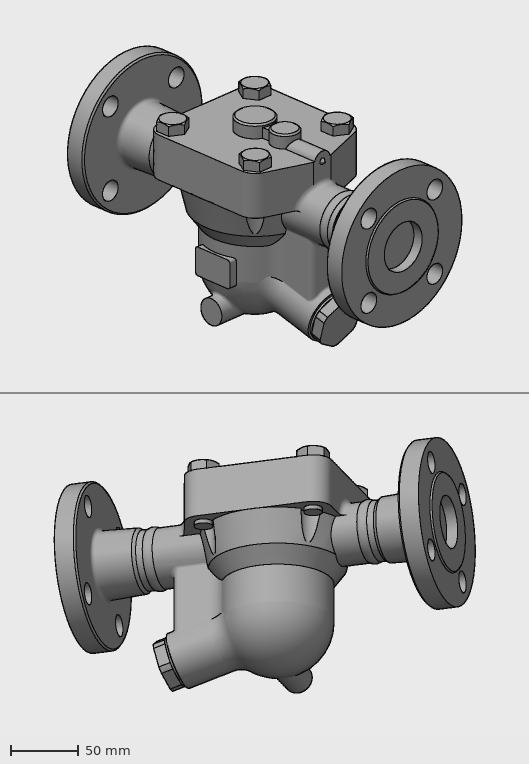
import cadquery as cq
import math


box_margin = 0.3

half_length = 145.0
pipe_r = 46.0 / 2
bore_r = 40.0 / 2
bore_depth = 8.7
flange_r = 127.0 / 2
flange_thickness = 16.5
flange_round = 1.5
raised_face_height = 1.5
raised_face_r = 37.0
raised_face_base_r = 38.0
flange_hole_d = 16.5
flange_hole_offset = 34.8
hub_fillet = 3.2
hub_large_r = 26.0
hub_small_r = 25.0
hub_length = 27.5
hub_shoulder = 2.5
weld_bead_start = 56.5
weld_bead_width = 7.8
weld_bead_height = 1.2

body_x = -10.2
bolt_offset = 43.2
cover_corner_r = 14.2
cover_half_width = bolt_offset + cover_corner_r
cover_nose_x = 60.3
cover_nose_half_width = 9.3
plate_bottom_z = 7.0
cover_top_z = 44.0
pipe_collar_fillet = 4.4

bolt_head_flats = 21.5
bolt_head_height = 9.0
bolt_head_chamfer_height = 1.2
bolt_head_chamfer_width = 2.0
bolt_stub_d = 14.0
bolt_stub_length = 3.2

main_boss_d = 33.0
side_boss_d = 23.8
side_boss_x = 21.2
boss_height = 12.0
boss_chamfer = 1.5
link_width = 14.0
link_height = 9.0
tube_r = 8.5
tube_z = 41.8
tip_base_r = 2.5
tip_length = 3.2

bowl_rim_r = 57.7
bowl_shoulder_r = 51.5
bowl_shoulder_z = -19.5
bowl_r = 42.0
bowl_cylinder_top_z = -32.5
bowl_centre_z = -62.4
bolt_relief_r = 9.0

rib_half_width = 17.0
rib_end_x = 67.3
rib_corner_r = 5.8
rib_bowl_fillet = 16.0
rib_bottom_z = -68.2
rib_pipe_fillet = 3.2
rib_outlet_fillet = 2.0

outlet_tilt = 15.0
outlet_r = 44.0 / 2
outlet_length = 81.0
outlet_flare = 18.8
plug_washer_r = 40.0 / 2
plug_washer_length = 2.0
plug_hex_flats = 38.0
plug_round_d = 41.2
plug_length = 92.2

pad_width = 36.2
pad_height = 23.8
pad_centre_z = -55.0
pad_face_y = -44.7
pad_corner_r = 2.5
drain_d = 22.0
drain_z = -91.0
drain_face_y = -46.0
drain_fillet = 2.3


def pipe_half():
    """Pipe, hub and flange on the -X side, revolved about the pipe axis."""
    face_x = -half_length + raised_face_height
    flange_back_x = face_x + flange_thickness
    hub_x = flange_back_x + hub_fillet
    hub_end_x = hub_x + hub_length
    bead_x = -half_length + weld_bead_start
    fillet_drop = hub_fillet * (1 - math.sqrt(0.5))
    profile = (
        cq.Workplane("XY")
        .moveTo(-half_length, 0)
        .lineTo(-half_length, raised_face_r)
        .lineTo(face_x, raised_face_base_r)
        .lineTo(face_x, flange_r)
        .lineTo(flange_back_x - flange_round, flange_r)
        .lineTo(flange_back_x, flange_r - flange_round)
        .lineTo(flange_back_x, hub_large_r + hub_fillet)
        .threePointArc((flange_back_x + fillet_drop, hub_large_r + fillet_drop), (hub_x, hub_large_r))
        .lineTo(hub_end_x, hub_small_r)
        .lineTo(hub_end_x + hub_shoulder, pipe_r)
        .lineTo(bead_x, pipe_r)
        .threePointArc(
            (bead_x + weld_bead_width / 2, pipe_r + weld_bead_height),
            (bead_x + weld_bead_width, pipe_r),
        )
        .lineTo(0, pipe_r)
        .lineTo(0, 0)
        .close()
    )
    half = profile.revolve(360, (0, 0, 0), (1, 0, 0))
    end_plane = cq.Workplane("YZ", origin=(-half_length, 0, 0))
    holes = (
        end_plane.rect(2 * flange_hole_offset, 2 * flange_hole_offset, forConstruction=True)
        .vertices()
        .circle(flange_hole_d / 2)
        .extrude(raised_face_height + flange_thickness)
    )
    return half.cut(holes).cut(end_plane.circle(bore_r).extrude(bore_depth))


def cover_outline():
    """Square outline with round corners and a blunt nose on the +X side."""
    right_x = body_x + bolt_offset
    left_x = body_x - cover_half_width
    dx = cover_nose_x - right_x
    dy = cover_nose_half_width - bolt_offset
    tangent_angle = math.atan2(dy, dx) + math.acos(cover_corner_r / math.hypot(dx, dy))
    tangent_x = right_x + cover_corner_r * math.cos(tangent_angle)
    tangent_y = bolt_offset + cover_corner_r * math.sin(tangent_angle)
    return (
        cq.Workplane("XY", origin=(0, 0, plate_bottom_z))
        .moveTo(left_x, -bolt_offset)
        .radiusArc((left_x + cover_corner_r, -cover_half_width), -cover_corner_r)
        .lineTo(right_x, -cover_half_width)
        .radiusArc((tangent_x, -tangent_y), -cover_corner_r)
        .lineTo(cover_nose_x, -cover_nose_half_width)
        .lineTo(cover_nose_x, cover_nose_half_width)
        .lineTo(tangent_x, tangent_y)
        .radiusArc((right_x, cover_half_width), -cover_corner_r)
        .lineTo(left_x + cover_corner_r, cover_half_width)
        .radiusArc((left_x, bolt_offset), -cover_corner_r)
        .close()
    )


def bowl():
    """Round bowl with a conical rim, a shoulder, a cylinder and a spherical bottom."""
    body = (
        cq.Workplane("XZ", origin=(body_x, 0, 0))
        .moveTo(0, plate_bottom_z)
        .lineTo(bowl_rim_r, plate_bottom_z)
        .lineTo(bowl_shoulder_r, bowl_shoulder_z)
        .lineTo(bowl_r, bowl_cylinder_top_z)
        .lineTo(bowl_r, bowl_centre_z)
        .radiusArc((0, bowl_centre_z - bowl_r), bowl_r)
        .close()
        .revolve(360, (0, 0, 0), (0, 1, 0))
    )
    reliefs = (
        bolt_pattern(bowl_shoulder_z).circle(bolt_relief_r).extrude(plate_bottom_z - bowl_shoulder_z)
    )
    return body.cut(reliefs)


def bolt_pattern(z):
    return (
        cq.Workplane("XY", origin=(body_x, 0, z))
        .rect(2 * bolt_offset, 2 * bolt_offset, forConstruction=True)
        .vertices()
    )


def add_bolts(part):
    """Hexagon heads with chamfered tops, alternately turned, and stubs below the plate."""
    for x_side, y_side in ((-1, -1), (-1, 1), (1, -1), (1, 1)):
        turn = 30 if x_side * y_side > 0 else 0
        centre = (body_x + x_side * bolt_offset, y_side * bolt_offset, cover_top_z)
        head = (
            cq.Workplane("XY", origin=centre)
            .transformed(rotate=(0, 0, turn))
            .polygon(6, bolt_head_flats, circumscribed=True)
            .extrude(bolt_head_height)
        )
        envelope = (
            cq.Workplane("XY", origin=centre)
            .circle(bolt_head_flats / math.sqrt(3))
            .extrude(bolt_head_height)
            .faces(">Z")
            .chamfer(bolt_head_chamfer_height, bolt_head_chamfer_width)
        )
        head = head.intersect(envelope)
        part = part.union(head)
    stubs = bolt_pattern(plate_bottom_z).circle(bolt_stub_d / 2).extrude(-bolt_stub_length)
    return part.union(stubs)


def cover_bosses():
    """Two chamfered round bosses, the link between them and the half-sunk tube to the nose."""

    def boss(x, diameter):
        return (
            cq.Workplane("XY", origin=(x, 0, cover_top_z))
            .circle(diameter / 2)
            .extrude(boss_height)
            .faces(">Z")
            .chamfer(boss_chamfer)
        )

    link = cq.Workplane("XY", origin=(body_x, 0, cover_top_z)).box(
        side_boss_x - body_x, link_width, link_height, centered=(False, True, False)
    )
    tube_length = cover_nose_x - side_boss_x
    tube = cq.Workplane("YZ", origin=(side_boss_x, 0, tube_z)).circle(tube_r).extrude(tube_length)
    tip = cq.Workplane("XY").add(
        cq.Solid.makeCone(
            tip_base_r, 0, tip_length, cq.Vector(cover_nose_x, 0, tube_z), cq.Vector(1, 0, 0)
        )
    )
    bosses = boss(body_x, main_boss_d).union(boss(side_boss_x, side_boss_d))
    return bosses.union(link).union(tube).union(tip)


def along_outlet(shape):
    """Move a shape built along +X from the origin onto the tilted outlet axis."""
    return shape.rotate((0, 0, 0), (0, 1, 0), outlet_tilt).translate((body_x, 0, bowl_centre_z))


def edges_near_rib(part, z_low, z_high):
    """Edges lying wholly within the rib's faces, between two heights."""
    return part.edges(
        cq.selectors.BoxSelector(
            (body_x - box_margin, -rib_half_width - box_margin, z_low),
            (rib_end_x + box_margin, rib_half_width + box_margin, z_high),
            boundingbox=True,
        )
    )


def rib():
    """Upright rib with a rounded end, filleted into the pipe above and the outlet neck below."""
    rib_length = rib_end_x - body_x
    slab = (
        cq.Workplane("XY", origin=(body_x, 0, rib_bottom_z))
        .rect(rib_length, 2 * rib_half_width)
        .extrude(-rib_bottom_z)
        .translate((rib_length / 2, 0, 0))
        .edges("|Z and >X")
        .fillet(rib_corner_r)
    )
    pipe_piece = cq.Workplane("YZ", origin=(body_x, 0, 0)).circle(pipe_r).extrude(half_length / 2 - body_x)
    with_pipe = slab.union(pipe_piece)
    with_pipe = edges_near_rib(with_pipe, -pipe_r - rib_pipe_fillet, -pipe_r / 2).fillet(rib_pipe_fillet)

    neck_piece = along_outlet(cq.Workplane("YZ").circle(outlet_r).extrude(outlet_length))
    with_neck = slab.union(neck_piece)
    neck_top_z = bowl_centre_z + outlet_r
    with_neck = edges_near_rib(with_neck, rib_bottom_z + box_margin, neck_top_z).fillet(rib_outlet_fillet)
    return with_pipe.union(with_neck)


def rib_blends():
    """Concave blends between the sides of the rib and the bowl cylinder."""
    blend_y = rib_half_width + rib_bowl_fillet
    centre_distance = bowl_r + rib_bowl_fillet
    blend_dx = math.sqrt(centre_distance**2 - blend_y**2)
    blend_x = body_x + blend_dx
    touch_ratio = bowl_r / centre_distance
    touch_x = body_x + blend_dx * touch_ratio
    touch_y = blend_y * touch_ratio
    return (
        cq.Workplane("XY", origin=(0, 0, bowl_centre_z))
        .moveTo(body_x, 0)
        .lineTo(touch_x, -touch_y)
        .radiusArc((blend_x, -rib_half_width), rib_bowl_fillet)
        .lineTo(blend_x, rib_half_width)
        .radiusArc((touch_x, touch_y), rib_bowl_fillet)
        .close()
        .extrude(bowl_shoulder_z - bowl_centre_z)
    )


def outlet():
    """Outlet neck on the tilted axis, flared into the bowl, with a round-cornered hexagon plug."""
    flare_r = outlet_r + outlet_flare
    flare_end = math.sqrt((bowl_r + outlet_flare) ** 2 - flare_r**2)
    touch_ratio = bowl_r / (bowl_r + outlet_flare)
    neck = (
        cq.Workplane("XY")
        .lineTo(0, flare_r * touch_ratio)
        .lineTo(flare_end * touch_ratio, flare_r * touch_ratio)
        .radiusArc((flare_end, outlet_r), -outlet_flare)
        .lineTo(outlet_length, outlet_r)
        .lineTo(outlet_length, 0)
        .close()
        .revolve(360, (0, 0, 0), (1, 0, 0))
    )
    end_plane = cq.Workplane("YZ", origin=(outlet_length, 0, 0))
    washer = end_plane.circle(plug_washer_r).extrude(plug_washer_length)
    plug_plane = end_plane.workplane(offset=plug_washer_length)
    hexagon_length = plug_length - outlet_length - plug_washer_length
    hexagon = plug_plane.polygon(6, plug_hex_flats, circumscribed=True).extrude(hexagon_length)
    plug = hexagon.intersect(plug_plane.circle(plug_round_d / 2).extrude(hexagon_length))
    return along_outlet(neck.union(washer).union(plug))


def name_pad():
    return (
        cq.Workplane("XZ", origin=(body_x, 0, pad_centre_z))
        .rect(pad_width, pad_height)
        .extrude(-pad_face_y)
        .edges("|Y")
        .fillet(pad_corner_r)
    )


def bowl_with_drain():
    """Bowl with the drain stub filleted into its spherical bottom."""
    stub = cq.Workplane("XZ", origin=(body_x, 0, drain_z)).circle(drain_d / 2).extrude(-drain_face_y)
    reach = drain_d / 2 + drain_fillet
    foot_box = cq.selectors.BoxSelector(
        (body_x - reach, -bowl_r, drain_z - reach),
        (body_x + reach, 0, drain_z + reach),
        boundingbox=True,
    )
    joined = bowl().union(stub)
    return joined.edges(foot_box).fillet(drain_fillet)


def cover_on_pipe():
    """Cover and lower plate as one block, with collar fillets where the pipe enters its end faces."""
    pipe_run = pipe_half()
    pipe_run = pipe_run.union(pipe_run.mirror("YZ"))
    block = pipe_run.union(cover_outline().extrude(cover_top_z - plate_bottom_z))
    left_x = body_x - cover_half_width
    left_span = (left_x - box_margin, left_x + box_margin)
    nose_span = (body_x + bolt_offset, cover_nose_x + box_margin)
    for x_low, x_high in (left_span, nose_span):
        collar_box = cq.selectors.BoxSelector(
            (x_low, -pipe_r, plate_bottom_z), (x_high, pipe_r, pipe_r + box_margin)
        )
        block = block.edges(collar_box).fillet(pipe_collar_fillet)
    return block


result = cover_on_pipe()
result = result.union(bowl_with_drain()).union(outlet()).union(name_pad())
result = result.union(rib()).union(rib_blends())
result = result.union(cover_bosses())
result = add_bolts(result)